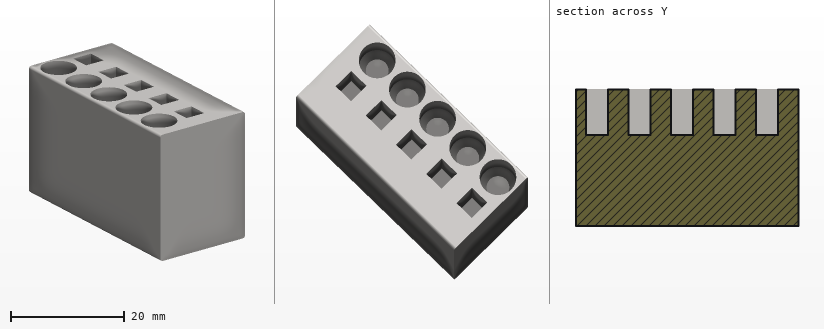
import cadquery as cq

length = 39.3
width = 18.5
height = 24.15
edge_radius = 0.5

pole_count = 5
pole_pitch = 7.5
first_pole_x = 3.75

bore_diameter = 6.5
floor_diameter = 4.0
bore_depth = 6.0
funnel_depth = 2.0
bore_y = edge_radius + bore_diameter / 2

pocket_length = 3.8
pocket_width = 3.9
pocket_depth = bore_depth + funnel_depth
pocket_y = 10.3


def make_housing():
    """Block with its four long edges rounded, one corner at the origin."""
    block = cq.Workplane("XY").box(length, width, height, centered=False)
    return block.edges("|X").fillet(edge_radius)


def make_wire_entry(x):
    """Solid to remove for the funnel-bottomed round bore at x."""
    bore = (
        cq.Workplane("XY", origin=(x, bore_y, height))
        .circle(bore_diameter / 2)
        .extrude(-bore_depth)
    )
    funnel = (
        cq.Workplane("XY", origin=(x, bore_y, height - bore_depth))
        .circle(bore_diameter / 2)
        .workplane(offset=-funnel_depth)
        .circle(floor_diameter / 2)
        .loft()
    )
    return bore.union(funnel)


def make_release_pocket(x):
    """Solid to remove for the rectangular pocket at x."""
    return (
        cq.Workplane("XY", origin=(x, pocket_y, height))
        .rect(pocket_length, pocket_width)
        .extrude(-pocket_depth)
    )


result = make_housing()
for pole in range(pole_count):
    pole_x = first_pole_x + pole * pole_pitch
    result = result.cut(make_wire_entry(pole_x))
    result = result.cut(make_release_pocket(pole_x))